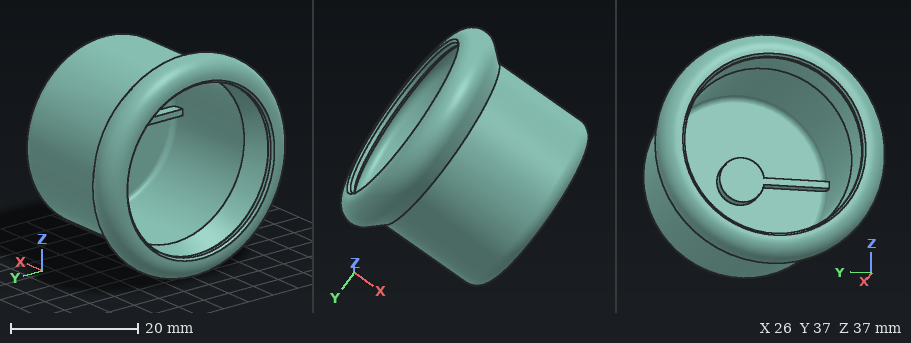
import cadquery as cq
import math

length = 26.0
sleeve_radius = 31.3 / 2
bore_radius = 28.2 / 2
wall = sleeve_radius - bore_radius

bead_radius = 3.0
bead_ring_radius = 15.5
flare_angle = math.radians(41)

mouth_radius = 28.8 / 2
mouth_chamfer = 0.4

end_fillet = 2.5

pin_radius = 3.6
rib_width = 1.1
pin_height = 2.0

floor_x = length - wall


def lip_points(tube_radius, cylinder_radius):
    """Points of one lip skin: bead start, bead middle, bead end and cone end."""
    tilt = math.pi / 2 - flare_angle

    def on_bead(angle):
        x = bead_radius + tube_radius * math.cos(angle)
        return x, bead_ring_radius + tube_radius * math.sin(angle)

    start = on_bead(math.pi)
    middle = on_bead((math.pi + tilt) / 2)
    end = on_bead(tilt)
    cone_end_x = end[0] + (end[1] - cylinder_radius) / math.tan(flare_angle)
    return start, middle, end, (cone_end_x, cylinder_radius)


def fillet_points(radius, cylinder_radius, end_x):
    """Start, middle and end of the round between a cylinder and an end face."""
    center_x = end_x - radius
    center_r = cylinder_radius - radius
    half = radius * math.sqrt(0.5)
    return (
        (center_x, cylinder_radius),
        (center_x + half, center_r + half),
        (end_x, center_r),
    )


def make_shell():
    """Revolved cup of even wall thickness."""
    outer_start, outer_middle, outer_end, outer_cone = lip_points(bead_radius, sleeve_radius)
    inner_start, inner_middle, inner_end, inner_cone = lip_points(bead_radius - wall, bore_radius)
    outer_round = fillet_points(end_fillet, sleeve_radius, length)
    inner_round = fillet_points(end_fillet - wall, bore_radius, floor_x)
    profile = (
        cq.Workplane("XY")
        .moveTo(0, mouth_radius + mouth_chamfer)
        .lineTo(*outer_start)
        .threePointArc(outer_middle, outer_end)
        .lineTo(*outer_cone)
        .lineTo(*outer_round[0])
        .threePointArc(outer_round[1], outer_round[2])
        .lineTo(length, 0)
        .lineTo(floor_x, 0)
        .lineTo(*inner_round[2])
        .threePointArc(inner_round[1], inner_round[0])
        .lineTo(*inner_cone)
        .lineTo(*inner_end)
        .threePointArc(inner_middle, inner_start)
        .lineTo(wall, mouth_radius + mouth_chamfer)
        .lineTo(wall - mouth_chamfer, mouth_radius)
        .lineTo(mouth_chamfer, mouth_radius)
        .close()
    )
    return profile.revolve(360, (0, 0, 0), (1, 0, 0))


def make_pin():
    """Central pin and the radial rib towards -Y, both rooted in the floor."""
    root = wall / 2
    depth = pin_height + root
    rib_length = bore_radius + root
    base = cq.Workplane("YZ").workplane(offset=floor_x - pin_height)
    pin = base.circle(pin_radius).extrude(depth)
    rib = base.center(-rib_length / 2, 0).rect(rib_length, rib_width).extrude(depth)
    return pin.union(rib)


result = make_shell().union(make_pin())